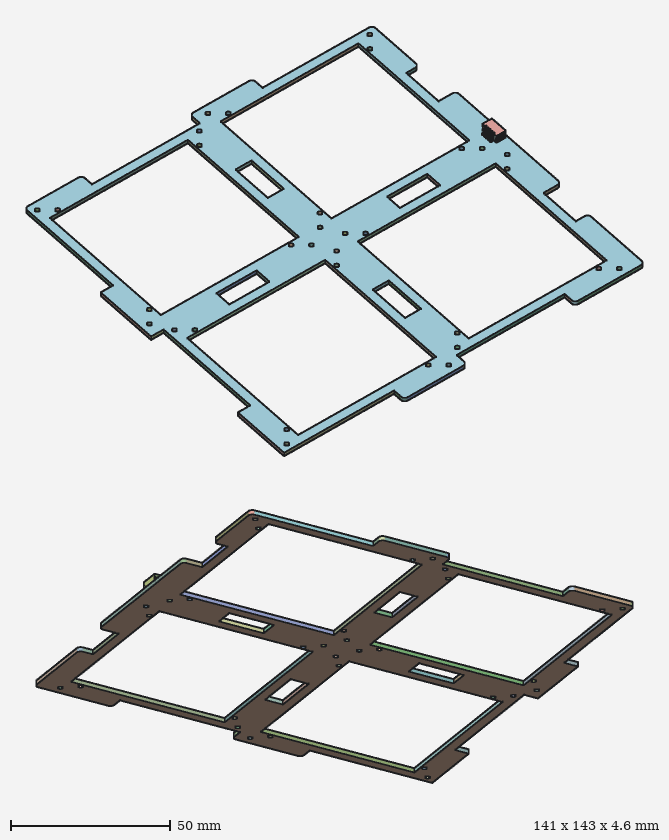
import cadquery as cq

PLATE_THICKNESS = 1.6
WINDOW_PITCH = 68.7
WINDOW_SIZE = 55.5
SLOT_LENGTH = 16.2
SLOT_WIDTH = 6.5

RAIL_EDGE = 65.5
TAB_EDGE = 70.5
TOP_TAB_EDGE = 72.5
TAB_MID_OFFSET = 1.0
TAB_RADIUS = 1.5

HOLE_DIAMETER = 1.6
OUTER_HOLE = (-28.6, 33.0)
INNER_HOLE = (-23.6, 29.0)

HOUSING_WIDTH = 7.0
HOUSING_DEPTH = 3.9
HOUSING_HEIGHT = 3.0
HOUSING_X = -3.9
HOUSING_SETBACK = 0.7
CONTACT_COUNT = 5
CONTACT_PITCH = 1.0
CONTACT_WIDTH = 0.5
CONTACT_LEG_DEPTH = 0.5
CONTACT_FOOT_LENGTH = 1.3
CONTACT_FOOT_THICKNESS = 0.6
SOLDER_TAB_LENGTH = 2.9
SOLDER_TAB_HEIGHT = 1.3
SOLDER_TAB_THICKNESS = 0.3
SIDES = (-1, 1)

half_pitch = WINDOW_PITCH / 2
slot_near = half_pitch - SLOT_LENGTH / 2
slot_far = half_pitch + SLOT_LENGTH / 2
housing_front = TOP_TAB_EDGE - HOUSING_SETBACK
housing_back = housing_front - HOUSING_DEPTH
solder_tab_base = PLATE_THICKNESS + CONTACT_FOOT_THICKNESS


def corner_box(size, low_corner):
    """Box of the given size, placed by its lowest corner."""
    return cq.Workplane("XY").box(*size, centered=False).translate(low_corner)


def quarter_turns(point):
    """The point and its copies turned about the origin by 90, 180 and 270 degrees."""
    x, y = point
    return [(x, y), (y, -x), (-x, -y), (-y, x)]


def plate_blank():
    """Solid plate with its stepped outline and rounded tab corners."""
    outline = [
        (-RAIL_EDGE, TAB_EDGE),
        (-slot_far, TAB_EDGE),
        (-slot_far, RAIL_EDGE),
        (-slot_near, RAIL_EDGE),
        (-slot_near, TOP_TAB_EDGE),
        (slot_near, TOP_TAB_EDGE),
        (slot_near, RAIL_EDGE),
        (slot_far, RAIL_EDGE),
        (slot_far, TAB_EDGE),
        (TAB_EDGE, TAB_EDGE),
        (TAB_EDGE, slot_far),
        (RAIL_EDGE, slot_far),
        (RAIL_EDGE, -TAB_MID_OFFSET),
        (TAB_EDGE, -TAB_MID_OFFSET),
        (TAB_EDGE, -slot_near),
        (RAIL_EDGE, -slot_near),
        (RAIL_EDGE, -TAB_EDGE),
        (slot_far, -TAB_EDGE),
        (slot_far, -RAIL_EDGE),
        (-TAB_MID_OFFSET, -RAIL_EDGE),
        (-TAB_MID_OFFSET, -TAB_EDGE),
        (-slot_near, -TAB_EDGE),
        (-slot_near, -RAIL_EDGE),
        (-TAB_EDGE, -RAIL_EDGE),
        (-TAB_EDGE, -slot_far),
        (-RAIL_EDGE, -slot_far),
        (-RAIL_EDGE, TAB_MID_OFFSET),
        (-TAB_EDGE, TAB_MID_OFFSET),
        (-TAB_EDGE, slot_near),
        (-RAIL_EDGE, slot_near),
    ]
    rounded = [
        (-RAIL_EDGE, TAB_EDGE),
        (-slot_far, TAB_EDGE),
        (-slot_near, TOP_TAB_EDGE),
        (slot_near, TOP_TAB_EDGE),
        (slot_far, TAB_EDGE),
        (TAB_EDGE, TAB_EDGE),
        (TAB_EDGE, slot_far),
        (TAB_EDGE, -TAB_MID_OFFSET),
        (TAB_EDGE, -slot_near),
        (-TAB_EDGE, -RAIL_EDGE),
        (-TAB_EDGE, -slot_far),
        (-TAB_EDGE, TAB_MID_OFFSET),
        (-TAB_EDGE, slot_near),
    ]
    blank = cq.Workplane("XY").polyline(outline).close().extrude(PLATE_THICKNESS)
    for x, y in rounded:
        corner = cq.selectors.NearestToPointSelector((x, y, PLATE_THICKNESS / 2))
        blank = blank.edges("|Z").edges(corner).fillet(TAB_RADIUS)
    return blank


def make_plate():
    """Plate with its windows, slots and fixing holes."""
    grid = cq.Workplane("XY")
    window_centres = grid.rarray(WINDOW_PITCH, WINDOW_PITCH, 2, 2)
    windows = window_centres.rect(WINDOW_SIZE, WINDOW_SIZE).extrude(PLATE_THICKNESS)
    slots_along_x = grid.rarray(WINDOW_PITCH, 1.5, 2, 1).rect(SLOT_LENGTH, SLOT_WIDTH).extrude(PLATE_THICKNESS)
    slots_along_y = grid.rarray(1.5, WINDOW_PITCH, 1, 2).rect(SLOT_WIDTH, SLOT_LENGTH).extrude(PLATE_THICKNESS)
    hole_points = [
        (centre_x + x, centre_y + y)
        for centre_x in (-half_pitch, half_pitch)
        for centre_y in (-half_pitch, half_pitch)
        for x, y in quarter_turns(OUTER_HOLE) + quarter_turns(INNER_HOLE)
    ]
    holes = grid.pushPoints(hole_points).circle(HOLE_DIAMETER / 2).extrude(PLATE_THICKNESS)
    return plate_blank().cut(windows).cut(slots_along_x).cut(slots_along_y).cut(holes)


def make_contact(x):
    """L-shaped contact centred on x: a leg let into the housing back and a foot on the plate."""
    low_x = x - CONTACT_WIDTH / 2
    leg = corner_box(
        (CONTACT_WIDTH, CONTACT_LEG_DEPTH, HOUSING_HEIGHT),
        (low_x, housing_back, PLATE_THICKNESS),
    )
    foot = corner_box(
        (CONTACT_WIDTH, CONTACT_FOOT_LENGTH, CONTACT_FOOT_THICKNESS),
        (low_x, housing_back - CONTACT_FOOT_LENGTH, PLATE_THICKNESS),
    )
    return leg.union(foot)


def side_bar(side, length):
    """Bar along one side of the housing, from its front face back; side is -1 or +1 along X."""
    x = HOUSING_X + side * (HOUSING_WIDTH - SOLDER_TAB_THICKNESS) / 2
    return corner_box(
        (SOLDER_TAB_THICKNESS, length, SOLDER_TAB_HEIGHT),
        (x - SOLDER_TAB_THICKNESS / 2, housing_front - length, solder_tab_base),
    )


def make_housing(contacts):
    """Block on the plate with a recess along each side and a slot for each contact."""
    housing = corner_box(
        (HOUSING_WIDTH, HOUSING_DEPTH, HOUSING_HEIGHT),
        (HOUSING_X - HOUSING_WIDTH / 2, housing_back, PLATE_THICKNESS),
    )
    for side in SIDES:
        housing = housing.cut(side_bar(side, HOUSING_DEPTH))
    for contact in contacts:
        housing = housing.cut(contact)
    return housing


plate = make_plate()
contacts = [
    make_contact(HOUSING_X + (i - (CONTACT_COUNT - 1) / 2) * CONTACT_PITCH)
    for i in range(CONTACT_COUNT)
]
solder_tabs = [side_bar(side, SOLDER_TAB_LENGTH) for side in SIDES]
housing = make_housing(contacts)

result = cq.Compound.makeCompound(
    [
        plate.val(),
        housing.val(),
        *[contact.val() for contact in contacts],
        *[tab.val() for tab in solder_tabs],
    ]
)